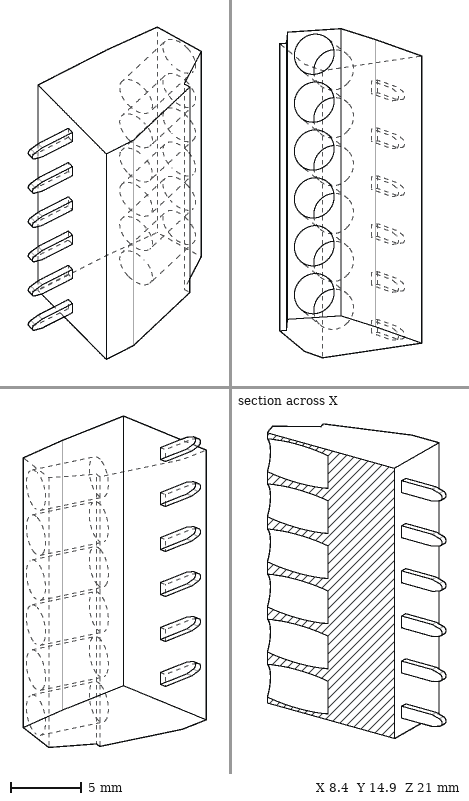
import cadquery as cq


contact_count = 6
height = 21.0
pitch = height / contact_count

width = 8.4
overall_depth = 14.9
lean_start_y = 6.1
shoulder_x = 0.23
shoulder_y = 10.25
peak_x = 4.01
peak_y = 11.4
notch_x = 5.95
notch_y = 8.55
lip_x = 6.43
lip_y = 8.7
right_side_y = 2.37

hole_diameter = 2.95
hole_depth = 5.05

pin_length = overall_depth - peak_y
pin_thickness = 0.5
pin_width = 0.92
pin_center_x = 4.0
pin_taper_start = 2.65
pin_taper_end = 3.28
pin_tip_width = 0.59


def contact_z(index):
    """Height of the middle of one contact."""
    return (index + 0.5) * pitch


def make_housing():
    outline = [
        (0, 0),
        (width, 0),
        (width, right_side_y),
        (lip_x, lip_y),
        (notch_x, notch_y),
        (peak_x, peak_y),
        (shoulder_x, shoulder_y),
        (0, lean_start_y),
    ]
    return cq.Workplane("XY").polyline(outline).close().extrude(height)


def make_wire_hole(z):
    """Cylinder sunk from the middle of the sloped face, square to it."""
    run = peak_x - shoulder_x
    rise = peak_y - shoulder_y
    face_middle = cq.Vector((shoulder_x + peak_x) / 2, (shoulder_y + peak_y) / 2, z)
    inward = cq.Vector(rise, -run, 0)
    return cq.Solid.makeCylinder(hole_diameter / 2, hole_depth, face_middle, inward)


def make_pin(z):
    """Flat pin pointing along -Y with a tapered, rounded end."""
    half_width = pin_width / 2
    half_tip = pin_tip_width / 2
    return (
        cq.Workplane("YZ", origin=(pin_center_x, 0, z))
        .moveTo(0, half_width)
        .lineTo(-pin_taper_start, half_width)
        .lineTo(-pin_taper_end, half_tip)
        .threePointArc((-pin_length, 0), (-pin_taper_end, -half_tip))
        .lineTo(-pin_taper_start, -half_width)
        .lineTo(0, -half_width)
        .close()
        .extrude(pin_thickness / 2, both=True)
    )


result = make_housing()
for contact in range(contact_count):
    result = result.cut(make_wire_hole(contact_z(contact)))
    result = result.union(make_pin(contact_z(contact)))